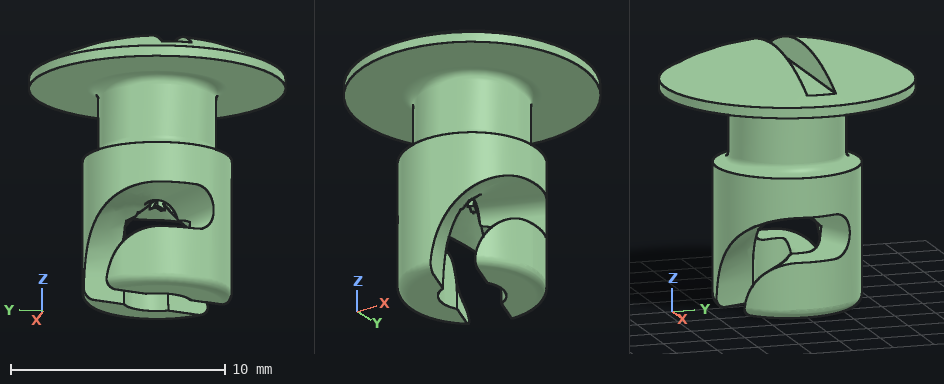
import cadquery as cq
import math

total_height = 12.48

head_radius = 6.0
rim_thickness = 0.5
dome_height = 1.67
driver_slot_width = 1.4
driver_slot_depth = 1.27

neck_radius = 2.76
neck_fillet = 0.5
body_radius = 3.5
body_height = 6.81
body_edge_radius = 0.5
bore_radius = 1.6
bore_tip_height = 4.67
bore_tip_angle = 120.0

bayonet_half_width = 1.07
bayonet_arc_radius = 3.83
bayonet_arc_centre = 0.51
bayonet_end_centre = -1.29
bayonet_starts = (0.0, 180.0)

cutter_inner_radius = 0.12
lower_wall_inner_radius = 1.12
cutter_clearance = 0.62
cutter_outer_radius = body_radius + cutter_clearance
arc_run_out = 10.0
arc_sections = 11

rim_bottom = total_height - dome_height - rim_thickness
rim_top = total_height - dome_height


def make_blank():
    """Revolve the head, neck and body as one solid."""
    slot_edge = driver_slot_width / 2
    dome_centre_z = (slot_edge**2 + total_height**2 - head_radius**2 - rim_top**2) / (2 * dome_height)
    dome_radius = math.hypot(slot_edge, total_height - dome_centre_z)
    crown_z = dome_centre_z + dome_radius
    profile = (
        cq.Workplane("XZ")
        .lineTo(body_radius - body_edge_radius, 0)
        .radiusArc((body_radius, body_edge_radius), -body_edge_radius)
        .lineTo(body_radius, body_height)
        .lineTo(neck_radius + neck_fillet, body_height)
        .radiusArc((neck_radius, body_height + neck_fillet), neck_fillet)
        .lineTo(neck_radius, rim_bottom - neck_fillet)
        .radiusArc((neck_radius + neck_fillet, rim_bottom), neck_fillet)
        .lineTo(head_radius, rim_bottom)
        .lineTo(head_radius, rim_top)
        .threePointArc((slot_edge, total_height), (0, crown_z))
        .close()
    )
    return profile.revolve(360, (0, 0, 0), (0, 1, 0))


def make_driver_slot():
    """Straight slot across the dome, with a flat floor."""
    return (
        cq.Workplane("XY", origin=(0, 0, total_height - driver_slot_depth))
        .rect(2 * head_radius, driver_slot_width)
        .extrude(2 * driver_slot_depth)
    )


def make_bore():
    """Blind drilled bore up from the bottom face, with a conical end."""
    straight_depth = bore_tip_height - bore_radius / math.tan(math.radians(bore_tip_angle / 2))
    return (
        cq.Workplane("XZ")
        .lineTo(bore_radius, 0)
        .lineTo(bore_radius, straight_depth)
        .lineTo(0, bore_tip_height)
        .close()
        .revolve(360, (0, 0, 0), (0, 1, 0))
    )


def turn_angle(distance):
    """Angle about Z, in radians, for a distance round the body; it runs towards -Y from +X."""
    return -distance / body_radius


def arc_section(arc_angle):
    """Four-sided cutter section at an angle (radians) down from the top of the quarter circle."""
    turn = turn_angle(bayonet_arc_centre + bayonet_arc_radius * math.sin(arc_angle))
    centre_z = bayonet_arc_radius * math.cos(arc_angle)
    outward = cq.Vector(math.cos(turn), math.sin(turn), 0)
    around = cq.Vector(math.sin(turn), -math.cos(turn), 0)
    across = around * math.sin(arc_angle) + cq.Vector(0, 0, math.cos(arc_angle))
    half_width = across * bayonet_half_width
    height = cq.Vector(0, 0, centre_z)
    outer = outward * cutter_outer_radius + height
    lower_inner = outward * lower_wall_inner_radius + height - half_width
    upper_inner = outward * cutter_inner_radius + height + half_width
    corners = [lower_inner, outer - half_width, outer + half_width, upper_inner]
    return cq.Wire.makePolygon(corners, close=True)


def make_round_end():
    """Round cutter sunk towards the axis at the end of the level run."""
    return (
        cq.Workplane("YZ", origin=(cutter_inner_radius, 0, 0))
        .center(0, bayonet_arc_radius)
        .circle(bayonet_half_width)
        .extrude(cutter_outer_radius - cutter_inner_radius)
        .rotate((0, 0, 0), (0, 0, 1), math.degrees(turn_angle(bayonet_end_centre)))
    )


def make_level_run():
    """Level part of the slot, from the round end to the top of the quarter circle."""
    corner_turn = math.degrees(turn_angle(bayonet_arc_centre))
    end_turn = math.degrees(turn_angle(bayonet_end_centre))
    lower_z = bayonet_arc_radius - bayonet_half_width
    upper_z = bayonet_arc_radius + bayonet_half_width
    return (
        cq.Workplane("XZ")
        .moveTo(cutter_inner_radius, lower_z)
        .lineTo(cutter_outer_radius, lower_z)
        .lineTo(cutter_outer_radius, upper_z)
        .lineTo(cutter_inner_radius, upper_z)
        .close()
        .revolve(end_turn - corner_turn, (0, 0, 0), (0, -1, 0))
        .rotate((0, 0, 0), (0, 0, 1), end_turn)
    )


def make_bayonet_cutter():
    """Parts of the cutter for the slot on the +X side."""
    last_angle = math.radians(90 + arc_run_out)
    sections = [arc_section(last_angle * i / (arc_sections - 1)) for i in range(arc_sections)]
    curved_run = cq.Workplane(cq.Solid.makeLoft(sections))
    return [curved_run, make_level_run(), make_round_end()]


result = make_blank().cut(make_driver_slot()).cut(make_bore())
cutter_parts = make_bayonet_cutter()
for start in bayonet_starts:
    for part in cutter_parts:
        result = result.cut(part.rotate((0, 0, 0), (0, 0, 1), start))